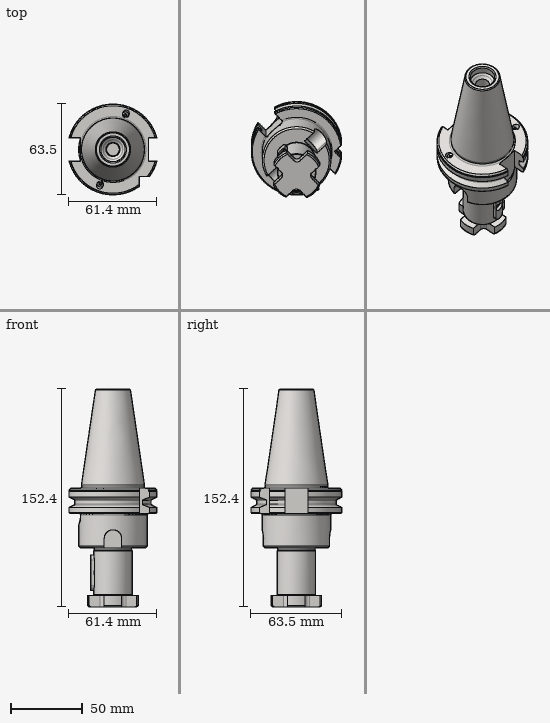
import cadquery as cq
import math

total_height = 152.4

head_radius = 17.7
head_height = 8.2
head_arm_width = 12.2
head_corner_radius = 2.9
head_chamfer = 1.0

spigot_diameter = 27.0
spigot_radius = spigot_diameter / 2
spigot_chamfer = 0.5
relief_radius = 13.1
relief_length = 1.4
relief_taper_length = 0.9

body_diameter = 48.0
body_radius = body_diameter / 2
body_bottom_z = 41.3
body_chamfer = 1.2
body_fillet = 0.8

flange_diameter = 63.5
flange_radius = flange_diameter / 2
flange_bottom_z = 65.2
flange_top_z = 83.0
flange_top_chamfer = 1.2
flange_bottom_chamfer = 0.8
groove_center_z = 73.2
groove_radius = 27.9
groove_floor_width = 3.2
groove_slope = math.radians(27)
groove_fillet = 0.6

rim_line_center_z = 81.2
rim_line_width = 0.9
rim_line_depth = 0.6

gauge_z = 84.5
gauge_radius = 22.3
taper_rate = 7 / 24 / 2
taper_base_z = 85.6
neck_shoulder_z = 84.7
neck_radius = 22.0
neck_fillet = 1.0
taper_top_chamfer = 0.8

bore_mouth_radius = 9.5
bore_radius = 8.5
bore_chamfer = 0.8
bore_depth = 5.8
upper_cone_radius = 6.9
upper_cone_length = 1.0
lower_cone_radius = 4.9
lower_cone_length = 1.5
pilot_depth = 18.3
pilot_floor_radius = 4.4
pilot_floor_rise = 0.5

slot_width = 16.2
slot_round_center_z = flange_bottom_z
deep_slot_x = 22.7
shallow_slot_x = 25.0
notch_x = 18.5
notch_y = 18.9

coolant_hole_radius = 2.3
coolant_socket_radius = 0.9
coolant_circle_radius = 26.7
coolant_angle = 70.0
coolant_tilt = 25.0
coolant_depth = 2.3
coolant_socket_depth = 1.5

drive_slot_width = 12.2
drive_slot_top_z = 54.0
drive_slot_floor_y = 13.7

key_width = 7.0
key_length = 25.0
key_center_z = 24.0
key_face_x = 15.5
key_screw_radius = 3.0
key_screw_depth = 2.3
key_socket_radius = 1.2
key_socket_depth = 1.5


def vertical_cylinder(radius, bottom_z, height):
    return cq.Workplane("XY").workplane(offset=bottom_z).circle(radius).extrude(height)


def fillet_circles(solid, radius, near_z, fillet_radius):
    """Fillet the circular edges of the given radius that lie close to a height."""
    reach = 2.3
    circles = solid.edges("%CIRCLE").filter(lambda edge: math.isclose(edge.radius(), radius))
    circles = circles.filter(lambda edge: abs(edge.Center().z - near_z) < reach)
    return circles.fillet(fillet_radius)


def make_turned_body():
    """Spigot, body, flange and taper as one revolved profile."""
    groove_half_floor = groove_floor_width / 2
    groove_half_mouth = groove_half_floor + (flange_radius - groove_radius) * math.tan(groove_slope)
    taper_base_radius = gauge_radius - (taper_base_z - gauge_z) * taper_rate
    taper_top_radius = gauge_radius - (total_height - gauge_z) * taper_rate
    relief_bottom_z = body_bottom_z - relief_length
    profile = [
        (0, head_height),
        (spigot_radius - spigot_chamfer, head_height),
        (spigot_radius, head_height + spigot_chamfer),
        (spigot_radius, relief_bottom_z - relief_taper_length),
        (relief_radius, relief_bottom_z),
        (relief_radius, body_bottom_z),
        (body_radius - body_chamfer, body_bottom_z),
        (body_radius, body_bottom_z + body_chamfer),
        (body_radius, flange_bottom_z),
        (flange_radius - flange_bottom_chamfer, flange_bottom_z),
        (flange_radius, flange_bottom_z + flange_bottom_chamfer),
        (flange_radius, groove_center_z - groove_half_mouth),
        (groove_radius, groove_center_z - groove_half_floor),
        (groove_radius, groove_center_z + groove_half_floor),
        (flange_radius, groove_center_z + groove_half_mouth),
        (flange_radius, rim_line_center_z - rim_line_width / 2),
        (flange_radius - rim_line_depth, rim_line_center_z),
        (flange_radius, rim_line_center_z + rim_line_width / 2),
        (flange_radius, flange_top_z - flange_top_chamfer),
        (flange_radius - flange_top_chamfer, flange_top_z),
        (neck_radius, flange_top_z),
        (neck_radius, neck_shoulder_z),
        (taper_base_radius, taper_base_z),
        (taper_top_radius, total_height - taper_top_chamfer),
        (taper_top_radius - taper_top_chamfer, total_height),
        (0, total_height),
    ]
    turned = cq.Workplane("XZ").polyline(profile).close().revolve(360, (0, 0), (0, 1))
    turned = fillet_circles(turned, groove_radius, groove_center_z, groove_fillet)
    turned = fillet_circles(turned, neck_radius, flange_top_z, neck_fillet)
    return fillet_circles(turned, body_radius, flange_bottom_z, body_fillet)


def make_screw_head():
    """Two crossing arms with rounded inner corners, turned to the head radius."""
    long_side = 2 * (head_radius + head_arm_width / 2)
    cross = (
        cq.Workplane("XY").rect(long_side, head_arm_width).extrude(head_height)
        .union(cq.Workplane("XY").rect(head_arm_width, long_side).extrude(head_height))
    )
    inner_corner_distance = math.hypot(head_arm_width / 2, head_arm_width / 2)
    inner_corners = cross.edges("|Z").filter(
        lambda edge: math.isclose(math.hypot(edge.Center().x, edge.Center().y), inner_corner_distance)
    )
    cross = inner_corners.fillet(head_corner_radius)
    blank = vertical_cylinder(head_radius, 0, head_height).faces("<Z").chamfer(head_chamfer)
    return cross.intersect(blank)


def make_bore():
    """Stepped blind bore with a chamfered mouth and a slightly raised floor."""
    upper_cone_z = total_height - bore_depth
    lower_cone_z = upper_cone_z - upper_cone_length
    pilot_top_z = lower_cone_z - lower_cone_length
    pilot_bottom_z = total_height - pilot_depth
    floor_z = pilot_bottom_z + pilot_floor_rise
    profile = [
        (0, total_height),
        (bore_mouth_radius, total_height),
        (bore_radius, total_height - bore_chamfer),
        (bore_radius, upper_cone_z),
        (upper_cone_radius, lower_cone_z),
        (lower_cone_radius, pilot_top_z),
        (lower_cone_radius, pilot_bottom_z),
        (pilot_floor_radius, floor_z),
        (0, floor_z),
    ]
    return cq.Workplane("XZ").polyline(profile).close().revolve(360, (0, 0), (0, 1))


def make_flange_slot(side, floor_x):
    """Round-bottomed slot through the flange, open to the outside at side * X."""
    depth = flange_radius
    height = flange_top_z - slot_round_center_z
    center_x = side * (floor_x + depth / 2)
    straight = cq.Workplane("XY").box(depth, slot_width, height, centered=(True, True, False))
    rounded = cq.Workplane("YZ").circle(slot_width / 2).extrude(depth / 2, both=True)
    return straight.union(rounded).translate((center_x, 0, slot_round_center_z))


def make_notch():
    """Square corner cut through the flange at +X, -Y."""
    size = flange_radius
    height = flange_top_z - flange_bottom_z
    corner = cq.Workplane("XY").box(size, size, height, centered=False)
    return corner.translate((notch_x, -notch_y - size, flange_bottom_z))


def make_coolant_hole(angle):
    """Tilted hole with a narrower socket in its floor."""
    overshoot = coolant_hole_radius
    hole = vertical_cylinder(coolant_hole_radius, -coolant_depth, coolant_depth + overshoot)
    socket_bottom_z = -coolant_depth - coolant_socket_depth
    hole = hole.union(vertical_cylinder(coolant_socket_radius, socket_bottom_z, -socket_bottom_z))
    hole = hole.rotate((0, 0, 0), (0, 1, 0), coolant_tilt)
    hole = hole.translate((coolant_circle_radius, 0, flange_top_z))
    return hole.rotate((0, 0, 0), (0, 0, 1), angle)


def make_drive_slot(side):
    """Round-topped slot in the lower edge of the body, open at side * Y."""
    depth = body_radius
    center_y = side * (drive_slot_floor_y + depth / 2)
    arc_center_z = drive_slot_top_z - drive_slot_width / 2
    height = arc_center_z - body_bottom_z
    straight = cq.Workplane("XY").box(drive_slot_width, depth, height, centered=(True, True, False))
    rounded = (
        cq.Workplane("XZ").center(0, height).circle(drive_slot_width / 2).extrude(depth / 2, both=True)
    )
    return straight.union(rounded).translate((0, center_y, body_bottom_z))


def make_key():
    """Round-ended key on the -X side with a recessed screw."""
    plane = cq.Workplane("YZ").center(0, key_center_z)
    return plane.slot2D(key_length, key_width, 90).extrude(-key_face_x)


def make_key_screw_hole():
    """Round recess in the key face with a narrower socket in its floor."""
    face = cq.Workplane("YZ", origin=(-key_face_x, 0, key_center_z))
    recess = face.circle(key_screw_radius).extrude(key_screw_depth)
    socket = face.circle(key_socket_radius).extrude(key_screw_depth + key_socket_depth)
    return recess.union(socket)


result = make_turned_body().union(make_screw_head()).union(make_key())
result = result.cut(make_bore()).cut(make_notch()).cut(make_key_screw_hole())
result = result.cut(make_flange_slot(-1, deep_slot_x)).cut(make_flange_slot(1, shallow_slot_x))
for side in (-1, 1):
    result = result.cut(make_drive_slot(side))
for angle in (coolant_angle, coolant_angle + 180):
    result = result.cut(make_coolant_hole(angle))